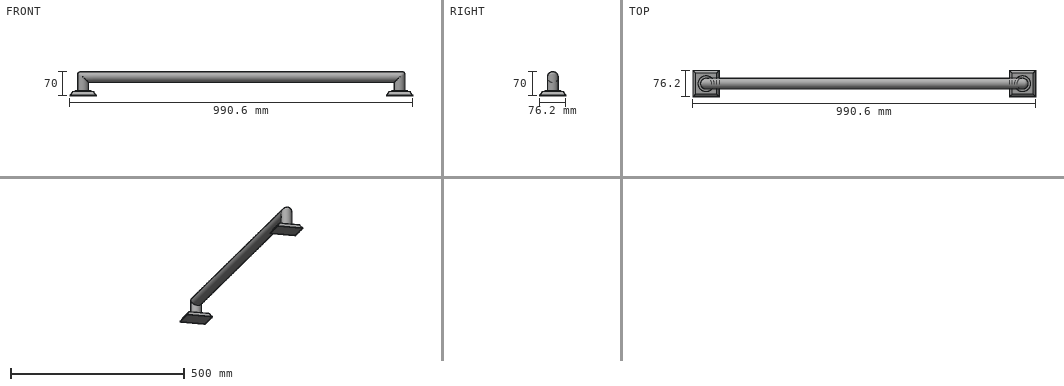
import cadquery as cq

overall_length = 990.6
overall_height = 69.98
flange_width = 76.2

flange_height = 12.7
flange_top_width = 61.0
flange_lip = 1.6
cove_radius = 30.0

collar_diameter = 46.0
collar_height = 2.5
collar_rounding = 2.0

tube_diameter = 31.75
elbow_rounding = 8.2
elbow_leg = 28.5

side_slice = 0.1

tube_radius = tube_diameter / 2
post_x = (overall_length - flange_width) / 2
bar_z = overall_height - tube_radius
bar_length = 2 * (post_x - elbow_leg)
clearance = 2 * overall_height


def make_flange_bar(plane):
    """Straight bar across the flange with a short upright lip and concave sides."""
    half_width = flange_width / 2
    half_top = flange_top_width / 2
    return (
        cq.Workplane(plane)
        .moveTo(-half_width, 0)
        .lineTo(half_width, 0)
        .lineTo(half_width, flange_lip)
        .radiusArc((half_top, flange_height), cove_radius)
        .lineTo(-half_top, flange_height)
        .radiusArc((-half_width, flange_lip), cove_radius)
        .close()
        .extrude(half_width, both=True)
    )


def make_flange():
    """Square flange centred on the post axis, its four concave sides mitred at the corners."""
    return make_flange_bar("XZ").intersect(make_flange_bar("YZ"))


def make_collar():
    """Round collar standing on the flange, with a rounded upper edge."""
    collar = cq.Workplane("XY", origin=(0, 0, flange_height)).circle(collar_diameter / 2)
    return collar.extrude(collar_height).faces(">Z").edges().fillet(collar_rounding)


def make_mitred_post():
    """Post along Z joined to a short elbow leg along +X, both cut on one 45 degree plane."""
    above_mitre = (
        cq.Workplane("XZ", origin=(0, 0, bar_z))
        .polyline([(-clearance, clearance), (clearance, -clearance), (clearance, clearance)])
        .close()
        .extrude(clearance, both=True)
    )
    post = (
        cq.Workplane("XY", origin=(0, 0, flange_height))
        .circle(tube_radius)
        .extrude(overall_height)
        .cut(above_mitre)
    )
    leg = (
        cq.Workplane("YZ", origin=(-tube_diameter, 0, bar_z))
        .circle(tube_radius)
        .extrude(tube_diameter + elbow_leg)
        .intersect(above_mitre)
    )
    return post.union(leg)


def make_elbow():
    """Mitred post with the outer edge of its mitre rounded."""
    elbow = make_mitred_post()
    core_width = tube_diameter - 2 * side_slice
    core = elbow.intersect(cq.Workplane("XY").box(clearance, core_width, clearance))
    outer_edge = cq.selectors.BoxSelector(
        (-tube_diameter, -tube_radius, bar_z), (0, tube_radius, overall_height)
    )
    rounded_core = core.edges(outer_edge).edges("%ELLIPSE").fillet(elbow_rounding)
    corner_waste = core.cut(rounded_core)
    return elbow.cut(corner_waste)


def make_support():
    """One complete end on the post axis: flange, collar, post and elbow."""
    return make_flange().union(make_collar()).union(make_elbow())


def make_bar():
    """Straight bar between the two elbow legs."""
    bar = cq.Workplane("YZ", origin=(-bar_length / 2, 0, bar_z)).circle(tube_radius)
    return bar.extrude(bar_length)


left_support = make_support().translate((-post_x, 0, 0))
right_support = left_support.mirror("YZ")

result = left_support.union(make_bar(), clean=False).union(right_support, clean=False)